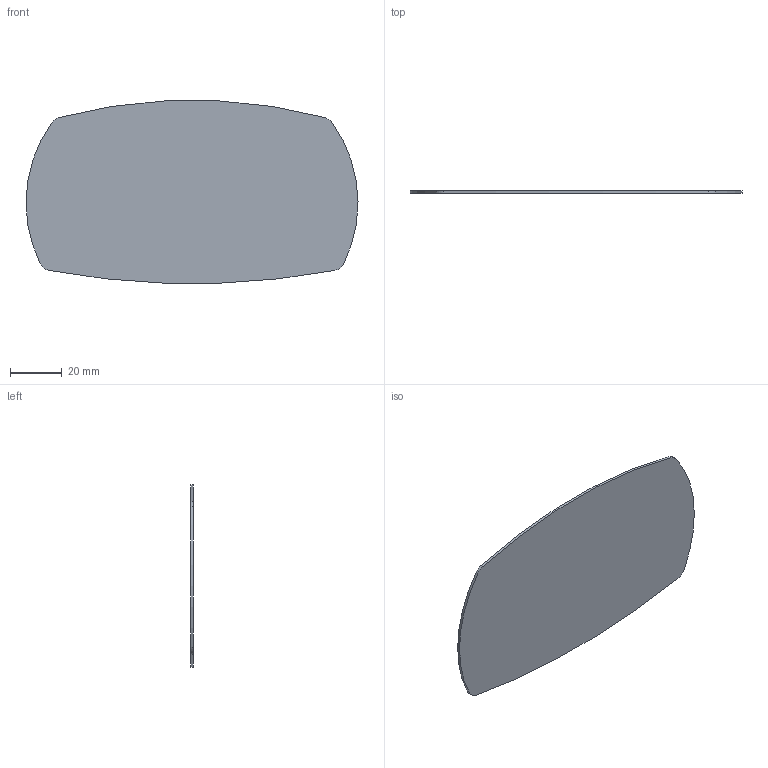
import cadquery as cq

length = 128.0
height = 70.73
thickness = 1.0

bottom_z = -31.2
top_z = bottom_z + height

top_radius = 200.0
bottom_radius = 300.0
end_radius = 52.8
corner_radius = 5.0


def disc(radius, centre_z):
    """Round plate lying in the XZ plane, running from Y = 0 to Y = thickness."""
    return (
        cq.Workplane("XZ")
        .center(0, centre_z)
        .circle(radius)
        .extrude(-thickness)
    )


def round_ended_blank():
    """Blank with parallel long sides and half-round ends, taller than the finished plate."""
    return cq.Workplane("XZ").slot2D(length, 2 * end_radius).extrude(-thickness)


def bowed_plate():
    """Round-ended blank trimmed by two large discs that bow its top and bottom edges."""
    top_disc = disc(top_radius, top_z - top_radius)
    bottom_disc = disc(bottom_radius, bottom_z + bottom_radius)
    return round_ended_blank().intersect(top_disc).intersect(bottom_disc)


def round_corners(plate):
    """Round the four corners where the bowed edges meet."""
    return plate.edges("|Y").fillet(corner_radius)


result = round_corners(bowed_plate())